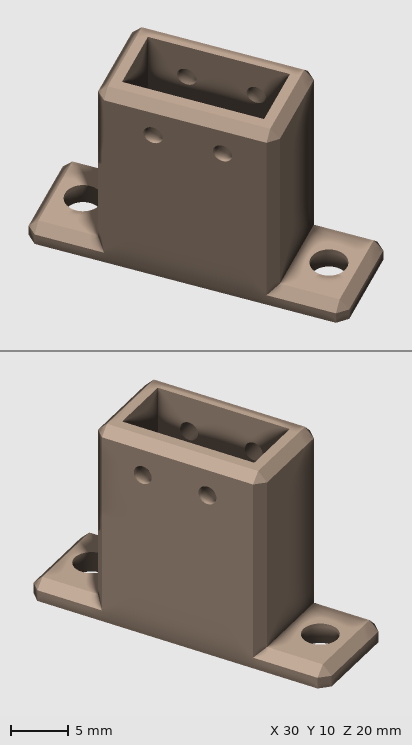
import cadquery as cq

length = 30.0
depth = 10.0
height = 20.0

sleeve_width = 17.0
flange_thickness = 2.0
chamfer = 0.9

passage_width = 13.3
passage_depth = 6.25

mount_diameter = 3.4
mount_spacing = 23.0

pin_diameter = 1.8
pin_spacing = 6.5
pin_offset = 0.25
pin_height = 16.5


def chamfered_block(width, block_height):
    """Block on the XY plane with its vertical and top edges chamfered."""
    block = cq.Workplane("XY").box(width, depth, block_height, centered=(True, True, False))
    return block.edges("|Z or >Z").chamfer(chamfer)


def mounting_holes():
    return (
        cq.Workplane("XY")
        .rarray(mount_spacing, 0.3, 2, 1)
        .circle(mount_diameter / 2)
        .extrude(flange_thickness)
    )


def pin_holes():
    return (
        cq.Workplane("XZ")
        .center(pin_offset, pin_height)
        .rarray(pin_spacing, 0.3, 2, 1)
        .circle(pin_diameter / 2)
        .extrude(depth / 2, both=True)
    )


passage = cq.Workplane("XY").rect(passage_width, passage_depth).extrude(height)

body = chamfered_block(length, flange_thickness).union(chamfered_block(sleeve_width, height))
result = body.cut(passage).cut(mounting_holes()).cut(pin_holes())